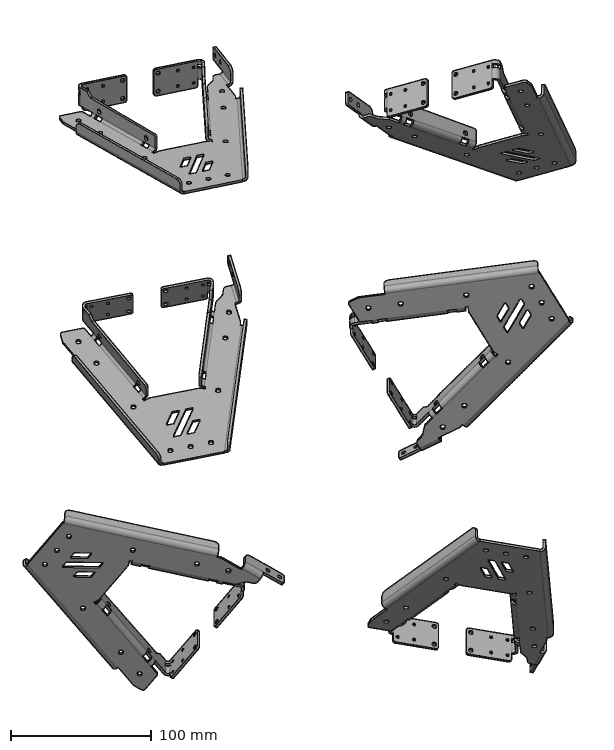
import cadquery as cq
import math

SHEET = 2.0
BEND_INNER = 2.0
BEND = BEND_INNER + SHEET
ARM_ANGLE = 20
SIN = math.sin(math.radians(ARM_ANGLE))
COS = math.cos(math.radians(ARM_ANGLE))

MOUNT_INNER_Y = 10.4
MOUNT_BEND_Y = 44.0
MOUNT_BOTTOM_Z = -3.0
MOUNT_TOP_Z = 19.0
MOUNT_CORNER = 2.0
MOUNT_SCREW_DIA = 3.0
MOUNT_SCREWS = [(13.6, 0.5), (13.6, 15.5)]
MOUNT_PIN_DIA = 2.1
MOUNT_PINS = [(y, z) for y in (28.6, 40.8) for z in (1.5, 14.2)]
WINDOW_BOTTOM_Z = 13
WINDOW_TOP_Z = 15.9

BEND_X = BEND
INNER_FOLD_V = BEND_INNER + BEND
INNER_END_U = 79.7
INNER_STRIPS = [(12.8, 17.0), (23.3, 67.0), (73.1, INNER_END_U)]
INNER_HOLE_DIA = 3.5
INNER_HOLES_U = (20.2, 70.0)
INNER_HOLE_Z = 8.0
INNER_END_ROUND = 2.0
SHOULDER_U = 7.1
SHOULDER_END_U = 11.0
SHOULDER_END_Z = 15.2
INNER_END_Z = 14.0

DIP_START_U = 11.6
DIP_END_U = 21.7
DIP_EXIT_U = 24.0
DIP_Z = 14.0

OUTER_FOLD_V = 26.4
OUTER_FACE_V = OUTER_FOLD_V + BEND
OUTER_EDGE_V = 25.4
OUTER_START_U = {1: 22.6, -1: 25.2}
OUTER_TOP_Z = 12.0
OUTER_ROUND = 4.0
OUTER_TIP_X = 141.7
OUTER_END_U = (OUTER_TIP_X - BEND_X - OUTER_FACE_V * SIN) / COS

BASE_FRONT_X = 140.9
BASE_THROAT_X = 81.5
RELIEF_END_U = 81.8
RELIEF_TOP_V = 6.6
SHORT_ARM_X = 9.7
SHORT_ARM_Y = -65.8
SHORT_ARM_ROUND = 2.0
TAB_ARM_Y = 61.1
CLEARANCE_V = 10.0
CLEARANCE_START_U = -2.9
CLEARANCE_END_U = 4.4
CLEARANCE_ROUND = 6.0
CLEARANCE_TIP_ROUND = 3.4
BASE_HOLE_DIA = 3.5
BASE_HOLES_U = (12.0, 35.1, 82.2)
FRONT_HOLE_X = 130.7
FRONT_HOLES_Y = (-14.9, 0, 14.9)

SLOT_CENTER_X = 108.4
SLOT_HALF_LENGTH = 11.0
SLOT_HEIGHT = 5.7
SLOT_SLOPE = 0.68
SLOT_PITCH = 10.0
SLOT_SHORT_START = 0.3
SLOT_ROUND = 0.6

TAB_Y = 66.2
TAB_START_X = -20.0
TAB_FOLD_START_X = -2.1
TAB_END_X = 13.7
TAB_TOP_Z = 14.5
TAB_ROUND = 2.0
TAB_END_ROUND = 5.0
TAB_HOLE_DIA = 3.0
TAB_HOLES_X = (-16.0, -6.0)
TAB_HOLE_Z = 9.2
TAB_FOLD_Y = TAB_Y - BEND


def arm_point(u, v, side=1):
    """XY position of arm coordinates (u, v) on the +Y (1) or -Y (-1) arm."""
    return (BEND_X + u * COS + v * SIN, side * (MOUNT_BEND_Y - u * SIN + v * COS))


def arm_point_at_x(x, v, side=1):
    return arm_point((x - BEND_X - v * SIN) / COS, v, side)


def arm_point_at_y(y, v, side=1):
    return arm_point((MOUNT_BEND_Y + v * COS - side * y) / SIN, v, side)


def arm_plane(u, v, normal_along_u):
    """Plane on the +Y arm: v-z axes facing along u, or u-z axes facing inward."""
    x, y = arm_point(u, v)
    along = (COS, -SIN, 0)
    outward = (SIN, COS, 0)
    if normal_along_u:
        return cq.Plane((x, y, 0), outward, along)
    return cq.Plane((x, y, 0), along, (-SIN, -COS, 0))


def on_side(solid, side):
    return solid if side == 1 else solid.mirror("XZ")


def round_edge(solid, direction, point, radius):
    return solid.edges(direction).edges(cq.NearestToPointSelector(point)).fillet(radius)


def round_base_corner(solid, corner, radius):
    return round_edge(solid, "|Z", (corner[0], corner[1], SHEET / 2), radius)


def fold(plane, fold_at, length, direction):
    """Quarter bend rising from the base; direction is where its flange stands."""
    diagonal = math.sqrt(0.5)
    return (
        cq.Workplane(plane)
        .moveTo(fold_at, 0)
        .threePointArc(
            (fold_at + direction * BEND * diagonal, BEND * (1 - diagonal)),
            (fold_at + direction * BEND, BEND),
        )
        .lineTo(fold_at + direction * BEND_INNER, BEND)
        .threePointArc(
            (fold_at + direction * BEND_INNER * diagonal, BEND - BEND_INNER * diagonal),
            (fold_at, SHEET),
        )
        .close()
        .extrude(length)
    )


def slot(x_start, x_end, offset):
    """Slanted slot cutter; offset shifts it in Y from the slot centre."""
    corners = [
        (x, offset - SLOT_SLOPE * x + end * SLOT_HEIGHT / 2)
        for x, end in ((x_start, -1), (x_end, -1), (x_end, 1), (x_start, 1))
    ]
    cutter = cq.Workplane(origin=(SLOT_CENTER_X, 0, 0)).polyline(corners).close().extrude(SHEET)
    return cutter.edges("|Z").fillet(SLOT_ROUND)


def throat_edge(side):
    """Base edge from the inner fold around the flange end relief to the throat."""
    return [
        arm_point(INNER_END_U, INNER_FOLD_V, side),
        arm_point(INNER_END_U, RELIEF_TOP_V, side),
        arm_point(RELIEF_END_U, RELIEF_TOP_V, side),
        arm_point(RELIEF_END_U, (BASE_THROAT_X - BEND_X - RELIEF_END_U * COS) / SIN, side),
    ]


def outer_edge(side):
    """Base edge from the start of the outer fold to the front edge."""
    start = OUTER_START_U[side]
    return [
        arm_point(start, OUTER_EDGE_V, side),
        arm_point(start, OUTER_FOLD_V, side),
        arm_point_at_x(BASE_FRONT_X, OUTER_FOLD_V, side),
    ]


def base_plate():
    tab_corner = arm_point_at_x(TAB_FOLD_START_X, CLEARANCE_V)
    clearance_corner = arm_point(CLEARANCE_START_U, CLEARANCE_V)
    short_arm_inner = arm_point_at_x(SHORT_ARM_X, INNER_FOLD_V, -1)
    short_arm_outer = (SHORT_ARM_X, SHORT_ARM_Y)
    outline = [
        (TAB_FOLD_START_X, TAB_FOLD_Y),
        (TAB_END_X, TAB_FOLD_Y),
        (TAB_END_X, TAB_ARM_Y),
        arm_point_at_y(TAB_ARM_Y, OUTER_EDGE_V),
        *outer_edge(1),
        *reversed(outer_edge(-1)),
        arm_point_at_y(SHORT_ARM_Y, OUTER_EDGE_V, -1),
        short_arm_outer,
        short_arm_inner,
        *throat_edge(-1),
        *reversed(throat_edge(1)),
        arm_point(CLEARANCE_END_U, INNER_FOLD_V),
        clearance_corner,
        tab_corner,
    ]
    plate = cq.Workplane().polyline(outline).close().extrude(SHEET)
    plate = round_base_corner(plate, tab_corner, CLEARANCE_TIP_ROUND)
    plate = round_base_corner(plate, clearance_corner, CLEARANCE_ROUND)
    plate = round_base_corner(plate, short_arm_inner, SHORT_ARM_ROUND)
    plate = round_base_corner(plate, short_arm_outer, SHORT_ARM_ROUND)

    middle_v = (INNER_FOLD_V + OUTER_FOLD_V) / 2
    holes = [arm_point(u, middle_v, side) for u in BASE_HOLES_U for side in (1, -1)]
    holes += [(FRONT_HOLE_X, y) for y in FRONT_HOLES_Y]
    plate = plate.cut(cq.Workplane().pushPoints(holes).circle(BASE_HOLE_DIA / 2).extrude(SHEET))

    plate = plate.cut(slot(-SLOT_HALF_LENGTH, SLOT_HALF_LENGTH, 0))
    plate = plate.cut(slot(SLOT_SHORT_START, SLOT_HALF_LENGTH, SLOT_PITCH))
    return plate.cut(slot(-SLOT_HALF_LENGTH, -SLOT_SHORT_START, -SLOT_PITCH))


def outer_flange(side):
    start = OUTER_START_U[side]
    length = OUTER_END_U - start
    bend = fold(arm_plane(start, 0, True), OUTER_FOLD_V, length, 1)
    wall = (
        cq.Workplane(arm_plane(start, OUTER_FACE_V, False))
        .moveTo(0, BEND)
        .lineTo(length, BEND)
        .lineTo(length, OUTER_TOP_Z - OUTER_ROUND)
        .radiusArc((length - OUTER_ROUND, OUTER_TOP_Z), -OUTER_ROUND)
        .lineTo(OUTER_ROUND, OUTER_TOP_Z)
        .radiusArc((0, OUTER_TOP_Z - OUTER_ROUND), -OUTER_ROUND)
        .close()
        .extrude(SHEET)
    )
    return on_side(bend.union(wall), side)


def inner_flange_top_z(u):
    fraction = (u - SHOULDER_END_U) / (INNER_END_U - SHOULDER_END_U)
    return SHOULDER_END_Z + fraction * (INNER_END_Z - SHOULDER_END_Z)


def inner_flange(side):
    if side == 1:
        shoulder = [
            (DIP_EXIT_U, inner_flange_top_z(DIP_EXIT_U)),
            (DIP_END_U, DIP_Z),
            (DIP_START_U, DIP_Z),
        ]
    else:
        shoulder = [(SHOULDER_END_U, SHOULDER_END_Z)]
    outline = [
        (0, BEND),
        (INNER_END_U, BEND),
        (INNER_END_U, INNER_END_Z),
        *shoulder,
        (SHOULDER_U, MOUNT_TOP_Z),
        (0, MOUNT_TOP_Z),
    ]
    wall = cq.Workplane(arm_plane(0, BEND, False)).polyline(outline).close().extrude(SHEET)
    tip = arm_point(INNER_END_U, BEND - SHEET / 2)
    wall = round_edge(wall, "not |Z", (*tip, INNER_END_Z), INNER_END_ROUND)
    holes = (
        cq.Workplane(arm_plane(0, BEND, False))
        .pushPoints([(u, INNER_HOLE_Z) for u in INNER_HOLES_U])
        .circle(INNER_HOLE_DIA / 2)
        .extrude(SHEET)
    )
    flange = wall.cut(holes)
    for start, end in INNER_STRIPS:
        flange = flange.union(fold(arm_plane(start, 0, True), INNER_FOLD_V, end - start, -1))
    return on_side(flange, side)


def mount_bend(side):
    """Vertical bend joining a mount plate to its inner flange, with its window."""
    sweep_middle = math.radians((180 + 90 - ARM_ANGLE) / 2)

    def sector_point(radius, angle):
        return (BEND_X + radius * math.cos(angle), MOUNT_BEND_Y + radius * math.sin(angle))

    bend = (
        cq.Workplane(origin=(0, 0, BEND))
        .moveTo(0, MOUNT_BEND_Y)
        .threePointArc(sector_point(BEND, sweep_middle), arm_point(0, BEND))
        .lineTo(*arm_point(0, BEND_INNER))
        .threePointArc(sector_point(BEND_INNER, sweep_middle), (SHEET, MOUNT_BEND_Y))
        .close()
        .extrude(MOUNT_TOP_Z - BEND)
    )
    window = (
        cq.Workplane(origin=(BEND_X, MOUNT_BEND_Y, WINDOW_BOTTOM_Z))
        .circle(2 * BEND)
        .extrude(WINDOW_TOP_Z - WINDOW_BOTTOM_Z)
    )
    return on_side(bend.cut(window), side)


def mount_plate(side):
    width = MOUNT_BEND_Y - MOUNT_INNER_Y
    height = MOUNT_TOP_Z - MOUNT_BOTTOM_Z
    plate = (
        cq.Workplane("YZ", origin=(0, MOUNT_INNER_Y, MOUNT_BOTTOM_Z))
        .rect(width, height, centered=False)
        .extrude(SHEET)
    )
    for y, z in (
        (MOUNT_INNER_Y, MOUNT_BOTTOM_Z),
        (MOUNT_INNER_Y, MOUNT_TOP_Z),
        (MOUNT_BEND_Y, MOUNT_BOTTOM_Z),
    ):
        plate = round_edge(plate, "|X", (SHEET / 2, y, z), MOUNT_CORNER)
    for points, diameter in ((MOUNT_SCREWS, MOUNT_SCREW_DIA), (MOUNT_PINS, MOUNT_PIN_DIA)):
        plate = plate.cut(cq.Workplane("YZ").pushPoints(points).circle(diameter / 2).extrude(SHEET))
    return on_side(plate, side)


def side_tab():
    tab = (
        cq.Workplane("XZ", origin=(0, TAB_Y, 0))
        .moveTo(TAB_START_X, BEND)
        .lineTo(TAB_END_X, BEND)
        .lineTo(TAB_END_X, TAB_TOP_Z)
        .lineTo(TAB_START_X, TAB_TOP_Z)
        .close()
        .extrude(SHEET)
    )
    middle_y = TAB_Y - SHEET / 2
    for x, z, radius in (
        (TAB_START_X, BEND, TAB_ROUND),
        (TAB_START_X, TAB_TOP_Z, TAB_ROUND),
        (TAB_END_X, TAB_TOP_Z, TAB_END_ROUND),
    ):
        tab = round_edge(tab, "|Y", (x, middle_y, z), radius)
    holes = (
        cq.Workplane("XZ", origin=(0, TAB_Y, 0))
        .pushPoints([(x, TAB_HOLE_Z) for x in TAB_HOLES_X])
        .circle(TAB_HOLE_DIA / 2)
        .extrude(SHEET)
    )
    fold_plane = cq.Plane((TAB_FOLD_START_X, 0, 0), (0, 1, 0), (1, 0, 0))
    bend = fold(fold_plane, TAB_FOLD_Y, TAB_END_X - TAB_FOLD_START_X, 1)
    return tab.cut(holes).union(bend)


result = base_plate().union(side_tab())
for arm_side in (1, -1):
    result = result.union(outer_flange(arm_side))
    result = result.union(inner_flange(arm_side))
    result = result.union(mount_bend(arm_side))
    result = result.union(mount_plate(arm_side))